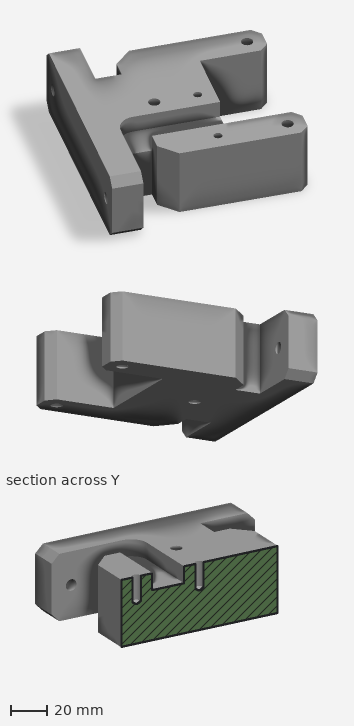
import cadquery as cq
import math

WIDTH = 130.0
DEPTH = 118.0
HEIGHT = 40.0

FLANGE_THICKNESS = 18.0
FLANGE_CHAMFER = 5.0
FLANGE_HOLE_OFFSET = 52.5

BODY_WIDTH = 60.0
BODY_BACK = 78.0
ARM_WIDTH = 20.0
ARM_FRONT = 33.0
ARM_TIP_CHAMFER = 5.0
ARM_FRONT_CHAMFER = 10.0

RECESS_LEFT = 10.0
RECESS_DEPTH = 10.0
RECESS_CORNER_RADIUS = 10.0

THROUGH_DIAMETER = 6.8
ARM_HOLE_TO_TIP = 10.0
BODY_HOLE_Y = 43.0
BLIND_DIAMETER = 5.0
BLIND_DEPTH = 15.0
BLIND_HOLE_Y = 68.0
DRILL_POINT_ANGLE = 118.0

BODY_HALF = BODY_WIDTH / 2
ARM_OUTER = BODY_HALF + ARM_WIDTH
ARM_CENTRE = BODY_HALF + ARM_WIDTH / 2


def make_flange():
    plate = cq.Workplane("XY").box(WIDTH, FLANGE_THICKNESS, HEIGHT, centered=(True, False, False))
    plate = plate.edges("|Y").chamfer(FLANGE_CHAMFER)
    return plate


def make_body():
    return cq.Workplane("XY").box(BODY_WIDTH, BODY_BACK, HEIGHT, centered=(True, False, False))


def make_recess():
    width = BODY_HALF - RECESS_LEFT
    length = BODY_BACK - FLANGE_THICKNESS
    cutter = (
        cq.Workplane("XY")
        .box(width, length, RECESS_DEPTH, centered=False)
        .edges("|Z and <X and <Y")
        .fillet(RECESS_CORNER_RADIUS)
    )
    return cutter.translate((RECESS_LEFT, FLANGE_THICKNESS, HEIGHT - RECESS_DEPTH))


def make_arm(side):
    """Arm on the left (side = -1) or right (side = 1) of the body."""
    outline = [
        (BODY_HALF, ARM_FRONT),
        (ARM_OUTER - ARM_FRONT_CHAMFER, ARM_FRONT),
        (ARM_OUTER, ARM_FRONT + ARM_FRONT_CHAMFER),
        (ARM_OUTER, DEPTH - ARM_TIP_CHAMFER),
        (ARM_OUTER - ARM_TIP_CHAMFER, DEPTH),
        (BODY_HALF + ARM_TIP_CHAMFER, DEPTH),
        (BODY_HALF, DEPTH - ARM_TIP_CHAMFER),
    ]
    return cq.Workplane("XY").polyline([(side * x, y) for x, y in outline]).close().extrude(HEIGHT)


def make_vertical_hole(x, y):
    return cq.Workplane("XY").center(x, y).circle(THROUGH_DIAMETER / 2).extrude(HEIGHT)


def make_flange_hole(x):
    drill = cq.Workplane("XZ").center(x, HEIGHT / 2).circle(THROUGH_DIAMETER / 2)
    return drill.extrude(-FLANGE_THICKNESS)


def make_blind_hole(x, y):
    """Drilled hole from the top face with a conical bottom."""
    radius = BLIND_DIAMETER / 2
    point_length = radius / math.tan(math.radians(DRILL_POINT_ANGLE / 2))
    half_section = [
        (0, HEIGHT),
        (radius, HEIGHT),
        (radius, HEIGHT - BLIND_DEPTH),
        (0, HEIGHT - BLIND_DEPTH - point_length),
    ]
    drill = cq.Workplane("XZ").polyline(half_section).close().revolve(360, (0, 0, 0), (0, 1, 0))
    return drill.translate((x, y, 0))


result = make_body().cut(make_recess()).union(make_flange())
for side in (-1, 1):
    result = result.union(make_arm(side))

for side in (-1, 1):
    result = result.cut(make_vertical_hole(side * ARM_CENTRE, DEPTH - ARM_HOLE_TO_TIP))
    result = result.cut(make_flange_hole(side * FLANGE_HOLE_OFFSET))
result = result.cut(make_vertical_hole(0, BODY_HOLE_Y))
for x in (0, ARM_CENTRE):
    result = result.cut(make_blind_hole(x, BLIND_HOLE_Y))